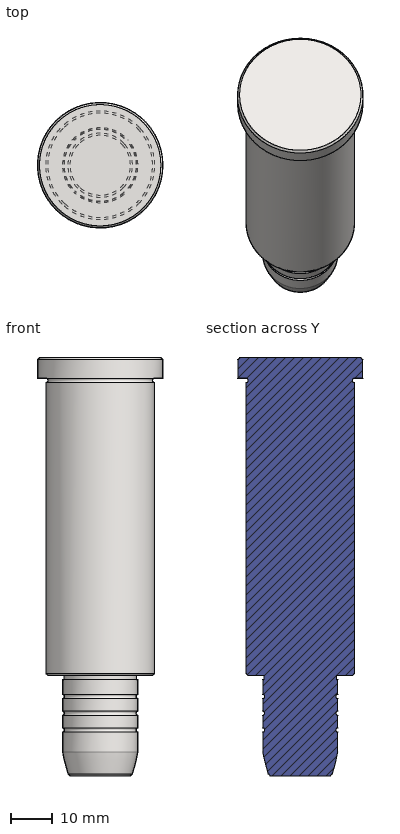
import cadquery as cq

total_length = 100.0
edge_chamfer = 0.5

head_radius = 15.0
head_height = 5.0

shank_radius = 13.0
shank_bottom = 24.0
relief_depth = 0.5
relief_height = 1.0

spigot_radius = 9.0
spigot_relief_radius = 8.7
spigot_relief_height = 1.0

groove_count = 3
groove_pitch = 4.0
groove_width = 1.0
groove_depth = 0.4
lowest_groove_height = 11.0

lead_in_height = 5.7
tip_radius = 7.7
lead_in_bulge = 0.1

head_bottom = total_length - head_height


def cylinder(radius, bottom, top):
    return cq.Workplane("XY").workplane(offset=bottom).circle(radius).extrude(top - bottom)


def make_groove(radius, height, width, depth):
    """Ring with an arc-shaped section, sunk into a cylinder and centred on the given height."""
    return (
        cq.Workplane("XZ")
        .moveTo(radius, height - width / 2)
        .threePointArc((radius - depth, height), (radius, height + width / 2))
        .close()
        .revolve(360, (0, 0, 0), (0, 1, 0))
    )


def make_head():
    return cylinder(head_radius, head_bottom, total_length).faces(">Z").chamfer(edge_chamfer)


def make_shank():
    shank = cylinder(shank_radius, shank_bottom, head_bottom).faces("<Z").chamfer(edge_chamfer)
    relief_middle = head_bottom - relief_height / 2
    return shank.cut(make_groove(shank_radius, relief_middle, relief_height, relief_depth))


def make_spigot():
    """Revolve the spigot, its curved lead-in and the small chamfer at the tip."""
    relief_bottom = shank_bottom - spigot_relief_height
    arc_middle = (
        (spigot_radius + tip_radius) / 2 + lead_in_bulge,
        (lead_in_height + edge_chamfer) / 2,
    )
    return (
        cq.Workplane("XZ")
        .lineTo(tip_radius - edge_chamfer, 0)
        .lineTo(tip_radius, edge_chamfer)
        .threePointArc(arc_middle, (spigot_radius, lead_in_height))
        .lineTo(spigot_radius, relief_bottom)
        .lineTo(spigot_relief_radius, relief_bottom)
        .lineTo(spigot_relief_radius, shank_bottom)
        .lineTo(0, shank_bottom)
        .close()
        .revolve(360, (0, 0, 0), (0, 1, 0))
    )


result = make_spigot().union(make_shank()).union(make_head())
for index in range(groove_count):
    groove_height = lowest_groove_height + index * groove_pitch
    result = result.cut(make_groove(spigot_radius, groove_height, groove_width, groove_depth))